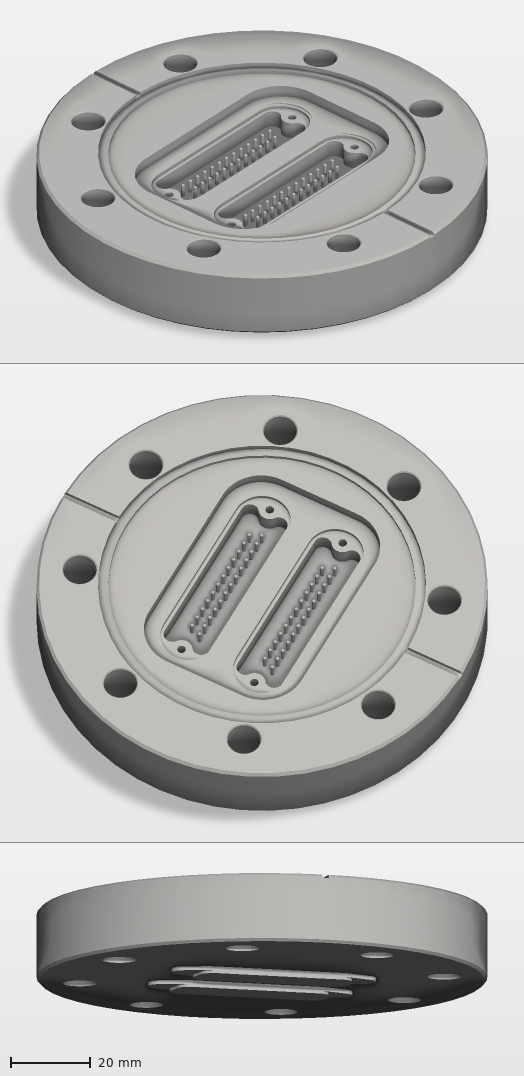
import cadquery as cq
import math

FLANGE_DIAMETER = 113.54
FLANGE_THICKNESS = 17.4
RIM_CHAMFER = 0.7
OVERALL_HEIGHT = 19.11

BOLT_COUNT = 8
BOLT_CIRCLE_DIAMETER = 92.2
BOLT_HOLE_DIAMETER = 8.4
BOLT_HOLE_CHAMFER = 0.3

SEAT_DIAMETER = 82.5
SEAT_DEPTH = 1.5
KNIFE_DIAMETER = 77.3
KNIFE_DEPTH = 0.55
INNER_FACE_DEPTH = 1.5

GROOVE_WIDTH = 1.7
GROOVE_DEPTH = 1.0
GROOVE_OVERLAP = 0.5

POCKET_WIDTH = 43.5
POCKET_LENGTH = 61.2
POCKET_CORNER_RADIUS = 11.0
POCKET_DEPTH = 3.1

CONNECTOR_PITCH = 20.8
CONNECTOR_SEAT_WIDTH = 14.55
CONNECTOR_SEAT_LENGTH = 53.2
CONNECTOR_SEAT_DEPTH = 0.9

RELIEF_RADIUS = 8.1
RELIEF_OUTWARD_SHIFT = 0.25
RELIEF_SLOPE = 4.0
RELIEF_START = 3.6
RELIEF_SKEW = 4.0

CAVITY_WIDTH = 12.75
CAVITY_LENGTH = 45.7
CAVITY_DEPTH = 4.5
SCREW_SPACING = 47.04
SCREW_HOLE_DIAMETER = 2.16
SCREW_HOLE_DEPTH = 5.0
SCREW_PAD_RADIUS = 2.77

PIN_DIAMETER = 0.94
PIN_HEIGHT = 3.5
PIN_TIP_RADIUS = 0.3
PIN_PITCH = 2.77
PIN_ROW_SPACING = 2.87
LONG_ROW_PINS = 13
SHORT_ROW_PINS = LONG_ROW_PINS - 1

SHELL_WIDTH = 10.45
SHELL_LENGTH = 41.0
SHELL_CORNER_RADIUS = 3.5
SHELL_END_ANGLE = 10.0
EAR_HEIGHT = 1.0
EAR_TIP_RADIUS = 3.13
EAR_FLANK_ANGLE = 18.0
EAR_ROOT_WIDTH = 10.3

PIN_ROW_OFFSET = PIN_ROW_SPACING / 2
SHELL_HEIGHT = OVERALL_HEIGHT - FLANGE_THICKNESS
INNER_FACE_Z = FLANGE_THICKNESS - INNER_FACE_DEPTH
POCKET_FLOOR_Z = INNER_FACE_Z - POCKET_DEPTH
CONNECTOR_SEAT_Z = POCKET_FLOOR_Z - CONNECTOR_SEAT_DEPTH
CAVITY_FLOOR_Z = CONNECTOR_SEAT_Z - CAVITY_DEPTH
CUT_MARGIN = 2.0
SIDES = (-1, 1)


def connector_x(side):
    """X of a connector centre; side is -1 or +1."""
    return side * CONNECTOR_PITCH / 2


def make_disc():
    """Chamfered disc turned with the gasket seat and knife edge in its top face."""
    radius = FLANGE_DIAMETER / 2
    return (
        cq.Workplane("XZ")
        .moveTo(0, 0)
        .lineTo(radius - RIM_CHAMFER, 0)
        .lineTo(radius, RIM_CHAMFER)
        .lineTo(radius, FLANGE_THICKNESS - RIM_CHAMFER)
        .lineTo(radius - RIM_CHAMFER, FLANGE_THICKNESS)
        .lineTo(SEAT_DIAMETER / 2, FLANGE_THICKNESS)
        .lineTo(SEAT_DIAMETER / 2, FLANGE_THICKNESS - SEAT_DEPTH)
        .lineTo(KNIFE_DIAMETER / 2, FLANGE_THICKNESS - KNIFE_DEPTH)
        .lineTo(KNIFE_DIAMETER / 2, INNER_FACE_Z)
        .lineTo(0, INNER_FACE_Z)
        .close()
        .revolve(360, (0, 0, 0), (0, 1, 0))
    )


def make_bolt_holes():
    """Through holes with a small chamfer at the top face."""
    hole_radius = BOLT_HOLE_DIAMETER / 2
    hole = cq.Workplane("XY").circle(hole_radius).extrude(FLANGE_THICKNESS)
    mouth = cq.Solid.makeCone(
        hole_radius,
        hole_radius + BOLT_HOLE_CHAMFER,
        BOLT_HOLE_CHAMFER,
        pnt=cq.Vector(0, 0, FLANGE_THICKNESS - BOLT_HOLE_CHAMFER),
    )
    drill = hole.union(cq.Workplane(mouth)).val()
    return (
        cq.Workplane("XY")
        .polarArray(BOLT_CIRCLE_DIAMETER / 2, 180 / BOLT_COUNT, 360, BOLT_COUNT)
        .eachpoint(lambda place: drill.moved(place), combine=False)
    )


def make_groove(side):
    """Leak check groove from the gasket seat out through the rim."""
    start = SEAT_DIAMETER / 2 - GROOVE_OVERLAP
    length = FLANGE_DIAMETER / 2 + CUT_MARGIN - start
    return (
        cq.Workplane("XY", origin=(0, 0, FLANGE_THICKNESS - GROOVE_DEPTH))
        .center(side * (start + length / 2), 0)
        .rect(length, GROOVE_WIDTH)
        .extrude(GROOVE_DEPTH + CUT_MARGIN)
    )


def make_pocket():
    """Rounded rectangular pocket in the inner face."""
    return (
        cq.Workplane("XY", origin=(0, 0, POCKET_FLOOR_Z))
        .rect(POCKET_WIDTH, POCKET_LENGTH)
        .extrude(POCKET_DEPTH + CUT_MARGIN)
        .edges("|Z")
        .fillet(POCKET_CORNER_RADIUS)
    )


def make_connector_seat(side):
    """Obround recess in the pocket floor."""
    return (
        cq.Workplane("XY", origin=(connector_x(side), 0, CONNECTOR_SEAT_Z))
        .slot2D(CONNECTOR_SEAT_LENGTH, CONNECTOR_SEAT_WIDTH, 90)
        .extrude(CONNECTOR_SEAT_DEPTH)
    )


def make_relief(side):
    """Crescent that slopes gently down into the pocket floor towards +Y."""
    end_y = (CONNECTOR_SEAT_LENGTH - CONNECTOR_SEAT_WIDTH) / 2
    x = connector_x(side) + side * RELIEF_OUTWARD_SHIFT
    relief_cylinder = (
        cq.Workplane("XY", origin=(x, end_y, POCKET_FLOOR_Z - CONNECTOR_SEAT_DEPTH))
        .circle(RELIEF_RADIUS)
        .extrude(2 * CONNECTOR_SEAT_DEPTH)
    )
    space_above_slope = (
        cq.Workplane("XY")
        .box(4 * RELIEF_RADIUS, 4 * RELIEF_RADIUS, CUT_MARGIN, centered=(True, True, False))
        .rotate((0, 0, 0), (1, 0, 0), -RELIEF_SLOPE)
        .rotate((0, 0, 0), (0, 0, 1), -side * RELIEF_SKEW)
        .translate((x, end_y + RELIEF_START, POCKET_FLOOR_Z))
    )
    return relief_cylinder.intersect(space_above_slope)


def make_cavity(side):
    """Cavity whose ends bulge inwards around the screw holes."""
    half_width = CAVITY_WIDTH / 2
    half_length = CAVITY_LENGTH / 2
    screw_y = SCREW_SPACING / 2
    pad = SCREW_PAD_RADIUS
    gap = screw_y - half_length
    half_b = half_width - gap + pad
    corner = half_b - math.sqrt(half_b**2 - half_width**2 - gap**2 + pad**2)
    corner_x = half_width - corner
    corner_y = half_length - corner
    touch = pad / (pad + corner)
    touch_x = corner_x * touch
    touch_y = screw_y + (corner_y - screw_y) * touch
    pad_y = screw_y - pad
    return (
        cq.Workplane("XY", origin=(connector_x(side), 0, CAVITY_FLOOR_Z))
        .moveTo(half_width, -corner_y)
        .lineTo(half_width, corner_y)
        .tangentArcPoint((touch_x, touch_y), relative=False)
        .threePointArc((0, pad_y), (-touch_x, touch_y))
        .tangentArcPoint((-half_width, corner_y), relative=False)
        .lineTo(-half_width, -corner_y)
        .tangentArcPoint((-touch_x, -touch_y), relative=False)
        .threePointArc((0, -pad_y), (touch_x, -touch_y))
        .tangentArcPoint((half_width, -corner_y), relative=False)
        .close()
        .extrude(CAVITY_DEPTH)
    )


def make_screw_holes(side):
    """Blind screw holes at both ends of a connector."""
    return (
        cq.Workplane("XY", origin=(connector_x(side), 0, CONNECTOR_SEAT_Z - SCREW_HOLE_DEPTH))
        .rarray(1, SCREW_SPACING, 1, 2)
        .circle(SCREW_HOLE_DIAMETER / 2)
        .extrude(SCREW_HOLE_DEPTH)
    )


def make_pin_row(side, row_x, count):
    """One row of round-tipped contact pins standing on the cavity floor."""
    return (
        cq.Workplane("XY", origin=(connector_x(side) + row_x, 0, CAVITY_FLOOR_Z))
        .rarray(1, PIN_PITCH, 1, count)
        .circle(PIN_DIAMETER / 2)
        .extrude(PIN_HEIGHT)
        .faces(">Z")
        .edges()
        .fillet(PIN_TIP_RADIUS)
    )


def make_shell(side):
    """D-shaped shell below the flange, with its longer side towards -X."""
    half_width = SHELL_WIDTH / 2
    slant = math.tan(math.radians(SHELL_END_ANGLE))
    corner_offset = SHELL_CORNER_RADIUS / math.cos(math.radians(SHELL_END_ANGLE))
    corner_y = SHELL_LENGTH / 2 - SHELL_CORNER_RADIUS
    long_half = corner_y + corner_offset + SHELL_CORNER_RADIUS * slant
    short_half = long_half - SHELL_WIDTH * slant
    outline = [
        (-half_width, -long_half),
        (half_width, -short_half),
        (half_width, short_half),
        (-half_width, long_half),
    ]
    return (
        cq.Workplane("XY", origin=(connector_x(side), 0, 0))
        .polyline(outline)
        .close()
        .extrude(-SHELL_HEIGHT)
        .edges("|Z")
        .fillet(SHELL_CORNER_RADIUS)
    )


def make_ears(side):
    """Thin plate with a tapered, round-tipped ear under each screw hole."""
    angle = math.radians(EAR_FLANK_ANGLE)
    screw_y = SCREW_SPACING / 2
    tip_x = EAR_TIP_RADIUS * math.cos(angle)
    tip_y = screw_y + EAR_TIP_RADIUS * math.sin(angle)
    root_x = EAR_ROOT_WIDTH / 2
    root_y = tip_y - (root_x - tip_x) / math.tan(angle)
    end_y = screw_y + EAR_TIP_RADIUS
    return (
        cq.Workplane("XY", origin=(connector_x(side), 0, 0))
        .moveTo(root_x, -root_y)
        .lineTo(root_x, root_y)
        .lineTo(tip_x, tip_y)
        .threePointArc((0, end_y), (-tip_x, tip_y))
        .lineTo(-root_x, root_y)
        .lineTo(-root_x, -root_y)
        .lineTo(-tip_x, -tip_y)
        .threePointArc((0, -end_y), (tip_x, -tip_y))
        .close()
        .extrude(-EAR_HEIGHT)
    )


def build_flange():
    """Disc with its bolt holes, grooves and connector pocket."""
    flange = make_disc().cut(make_bolt_holes()).cut(make_pocket())
    for side in SIDES:
        flange = flange.cut(make_groove(side))
    return flange


def add_connector(body, side):
    """Cut one connector into the pocket floor, then add its pins, ears and shell."""
    body = body.cut(make_connector_seat(side)).cut(make_relief(side))
    body = body.cut(make_cavity(side)).cut(make_screw_holes(side))
    body = body.union(make_pin_row(side, -PIN_ROW_OFFSET, LONG_ROW_PINS))
    body = body.union(make_pin_row(side, PIN_ROW_OFFSET, SHORT_ROW_PINS))
    return body.union(make_ears(side)).union(make_shell(side))


result = build_flange()
for side in SIDES:
    result = add_connector(result, side)